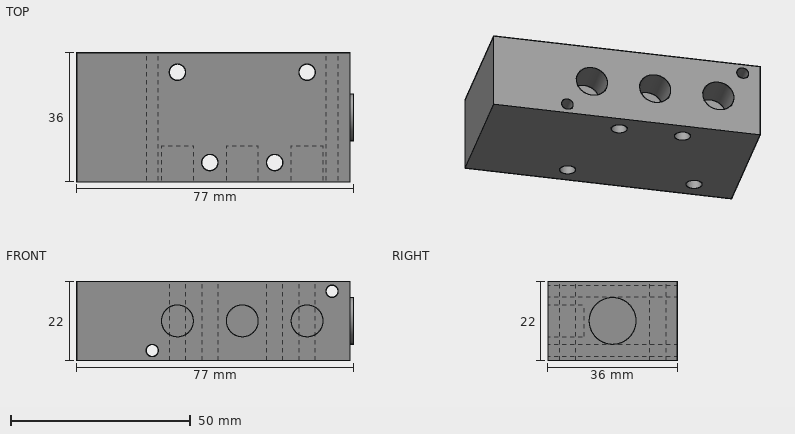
import cadquery as cq

total_length = 77.0
cap_thickness = 1.0
housing_length = total_length - cap_thickness
housing_width = 36.0
housing_height = 22.0

cap_diameter = 13.0

port_diameter = 8.85
port_depth = 10.0
port_count = 3
first_port_x = 28.0
port_pitch = 18.0
port_xs = [first_port_x + i * port_pitch for i in range(port_count)]

mount_diameter = 4.5
mount_inset = 5.5
front_mount_y = mount_inset
rear_mount_y = housing_width - mount_inset
mount_points = [
    (port_xs[0], rear_mount_y),
    (port_xs[-1], rear_mount_y),
    (port_xs[0] + port_pitch / 2, front_mount_y),
    (port_xs[1] + port_pitch / 2, front_mount_y),
]

cross_diameter = 3.3
cross_inset = 2.8
cross_points = [
    (21.0, cross_inset),
    (71.0, housing_height - cross_inset),
]


def cylinders_from_front(points, diameter, depth):
    """Cylinders starting on the front face (Y = 0) at (x, z) points, running toward +Y."""
    return cq.Workplane("XZ").pushPoints(points).circle(diameter / 2).extrude(-depth)


def make_housing():
    """Rectangular block with its ports, mounting holes and cross holes."""
    block = cq.Workplane("XY").box(housing_length, housing_width, housing_height, centered=False)

    port_points = [(x, housing_height / 2) for x in port_xs]
    ports = cylinders_from_front(port_points, port_diameter, port_depth)
    cross_holes = cylinders_from_front(cross_points, cross_diameter, housing_width)
    mount_holes = (
        cq.Workplane("XY")
        .pushPoints(mount_points)
        .circle(mount_diameter / 2)
        .extrude(housing_height)
    )
    return block.cut(ports).cut(cross_holes).cut(mount_holes)


def make_end_cap():
    """Round disc seated on the centre of the housing's +X end face."""
    return (
        cq.Workplane("YZ", origin=(housing_length, housing_width / 2, housing_height / 2))
        .circle(cap_diameter / 2)
        .extrude(cap_thickness)
    )


housing = make_housing()
end_cap = make_end_cap()

result = cq.Compound.makeCompound([housing.val(), end_cap.val()])